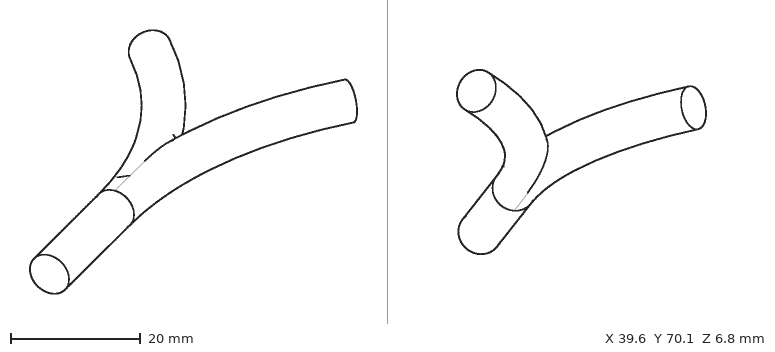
import cadquery as cq
import math

total_length = 70.05
rod_diameter = 6.8
bend_radius = 69.35
bend_angle = 41.3

rod_radius = rod_diameter / 2
branch_reach = (bend_radius + rod_radius) * math.sin(math.radians(bend_angle))
junction_y = total_length / 2 - branch_reach
stem_length = total_length - branch_reach


def make_stem():
    """Straight round rod running along -Y from the junction."""
    return cq.Workplane("XZ", origin=(0, junction_y, 0)).circle(rod_radius).extrude(stem_length)


def make_branch(side):
    """Round rod bent from the junction towards +X (side = 1) or -X (side = -1)."""
    return (
        cq.Workplane("XZ", origin=(0, junction_y, 0))
        .circle(rod_radius)
        .revolve(bend_angle, (side * bend_radius, 0, 0), (side * bend_radius, -side, 0))
    )


def make_fork():
    """Two mirrored branches merged where they leave the junction."""
    return make_branch(-1).union(make_branch(1))


stem = make_stem()
fork = make_fork()

result = cq.Compound.makeCompound([stem.val(), *fork.vals()])